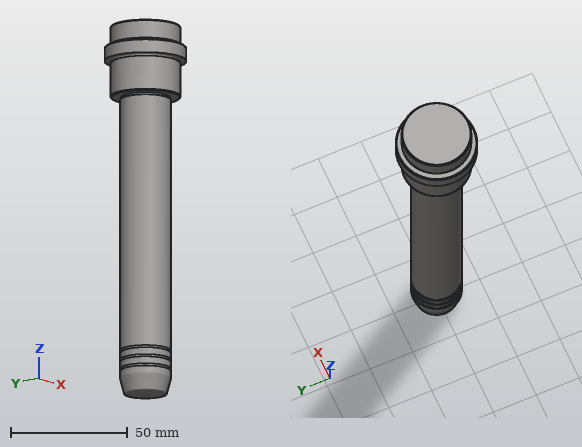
import cadquery as cq
import math

total_length = 161.0
shank_length = 130.0
flange_thickness = 6.0
cap_height = 9.0
taper_length = 7.0

head_diameter = 30.0
flange_diameter = 35.0
shank_diameter = 22.0
taper_angle = 15.0

head_chamfer = 0.5
flange_chamfer = 0.5
tip_fillet = 0.5

groove_width = 1.0
groove_depth = 0.5
groove_corner_radius = 0.499
oil_groove_count = 3
oil_groove_pitch = 4.0
first_oil_groove_z = 10.0

shank_relief_width = 1.0
shank_relief_depth = 0.5

flange_top = total_length - cap_height
flange_bottom = flange_top - flange_thickness


def cylinder(diameter, bottom, height):
    return cq.Workplane("XY").workplane(offset=bottom).circle(diameter / 2).extrude(height)


def make_head():
    head = cylinder(head_diameter, shank_length, total_length - shank_length)
    return head.faces("<Z or >Z").edges().chamfer(head_chamfer)


def make_flange():
    flange = cylinder(flange_diameter, flange_bottom, flange_thickness)
    return flange.faces(">Z").edges().chamfer(flange_chamfer)


def make_shank():
    shank_radius = shank_diameter / 2
    tip_radius = shank_radius - taper_length * math.tan(math.radians(taper_angle))
    outline = (
        cq.Workplane("XZ")
        .lineTo(tip_radius, 0)
        .lineTo(shank_radius, taper_length)
        .lineTo(shank_radius, shank_length)
        .lineTo(0, shank_length)
        .close()
    )
    shank = outline.revolve(360, (0, 0, 0), (0, 1, 0))
    return shank.faces("<Z").edges().fillet(tip_fillet)


def ring(diameter, bottom, width, depth):
    """Square-cornered ring of material at the surface of a cylinder of the given diameter."""
    core = cylinder(diameter - 2 * depth, bottom, width)
    return cylinder(diameter, bottom, width).cut(core)


def round_groove(diameter, bottom):
    """Ring to remove from a cylinder, leaving a groove with rounded floor corners."""
    surface = diameter / 2
    floor = surface - groove_depth
    top = bottom + groove_width
    corner_inset = groove_corner_radius * (1 - math.sqrt(0.5))
    section = (
        cq.Workplane("XZ")
        .moveTo(surface, bottom)
        .lineTo(floor + groove_corner_radius, bottom)
        .threePointArc((floor + corner_inset, bottom + corner_inset), (floor, bottom + groove_corner_radius))
        .lineTo(floor, top - groove_corner_radius)
        .threePointArc((floor + corner_inset, top - corner_inset), (floor + groove_corner_radius, top))
        .lineTo(surface, top)
        .close()
    )
    return section.revolve(360, (0, 0, 0), (0, 1, 0))


def cut_oil_grooves(body):
    for index in range(oil_groove_count):
        bottom = first_oil_groove_z + index * oil_groove_pitch
        body = body.cut(round_groove(shank_diameter, bottom))
    return body


def cut_head_reliefs(body):
    for bottom in (flange_top, flange_bottom - groove_width):
        body = body.cut(round_groove(head_diameter, bottom))
    return body


def cut_shank_relief(body):
    bottom = shank_length - shank_relief_width
    return body.cut(ring(shank_diameter, bottom, shank_relief_width, shank_relief_depth))


pillar = make_shank().union(make_head()).union(make_flange())
result = cut_shank_relief(cut_head_reliefs(cut_oil_grooves(pillar)))